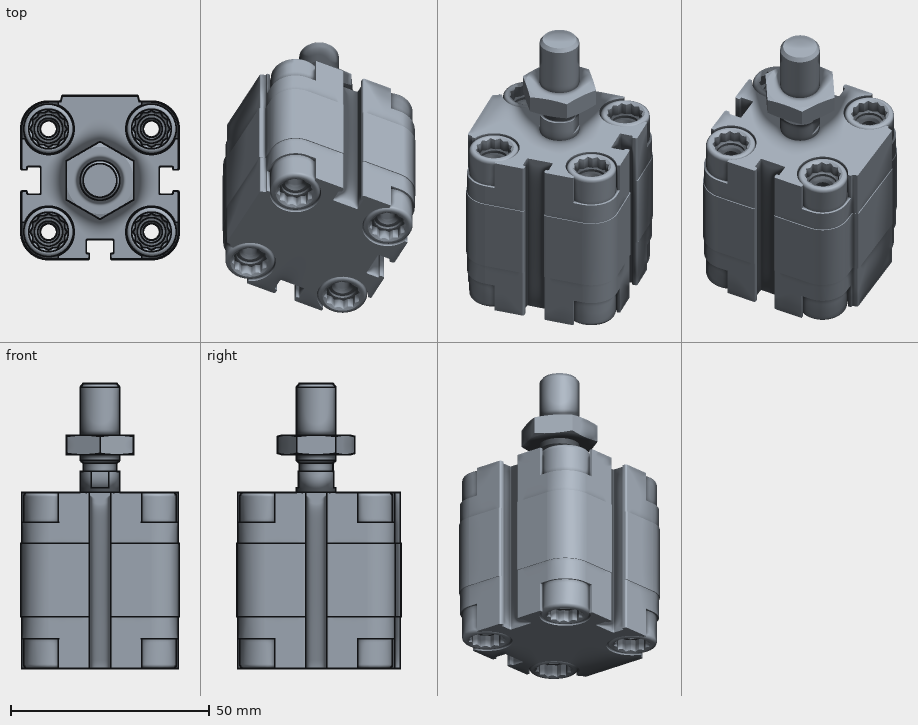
import cadquery as cq
import math

TOTAL_HEIGHT = 72.0
HEXAGON_HALF_ANGLE = 30.0

HOUSING_HEIGHT = 44.5
CAP_HALF_WIDTH = 19.8
TUBE_HALF_WIDTH = 20.0
TUBE_BOTTOM = 13.0
TUBE_TOP = 31.6
SCREW_OFFSET = 12.995

RIB_HEIGHT = 1.45
RIB_ROOT_HALF_WIDTH = 9.9
RIB_TOP_HALF_WIDTH = 9.6
RIB_EDGE_RADIUS = 0.35

SLOT_ANGLES = (0, 180, 270)
SLOT_FLOOR = 15.0
SLOT_HALF_WIDTH = 3.45
NECK_HALF_WIDTH = 2.7
LIP_THICKNESS = 1.4
SLOT_CORNER_RADIUS = 0.3
MOUTH_RADIUS = 0.5

RECESS_DEPTH = 7.5
RECESS_WALL = 10.5
RECESS_DIAMETER = 12.95
HEAD_DIAMETER = 12.5
HEAD_FILLET = 1.0

SOCKET_ACROSS_FLATS = 8.1
SOCKET_DEPTH = 3.3
SOCKET_MOUTH_DIAMETER = 10.0
SOCKET_MOUTH_SLOPE = 30.0
STEP_DIAMETER = 7.2
STEP_DEPTH = 4.0
COUNTERSINK_DIAMETER = 5.5
BORE_DIAMETER = 4.1

ROD_DIAMETER = 10.0
ROD_TIP_DIAMETER = 8.5
ROD_TIP_CHAMFER = 0.9
ROD_NECK_DIAMETER = 8.6
COLLAR_TOP = 49.8
NECK_TOP = 51.9
THREAD_BOTTOM = 52.55
FLAT_BOTTOM = 45.7
FLAT_ACROSS = 9.0

NUT_BOTTOM = 54.0
NUT_HEIGHT = 5.0
NUT_ACROSS_FLATS = 17.0
NUT_CORNER_DROP = 0.35

CORNERS = [(sx * SCREW_OFFSET, sy * SCREW_OFFSET) for sx in (-1, 1) for sy in (-1, 1)]


def t_slot(half_width, angle):
    """Tall cutter for the T-slot of the +X side with its mouth at half_width, turned by angle about Z."""
    lip = CAP_HALF_WIDTH - LIP_THICKNESS
    mouth_start = half_width - MOUTH_RADIUS
    mouth_half_width = NECK_HALF_WIDTH + MOUTH_RADIUS
    neck = (
        cq.Workplane("XY")
        .moveTo(SLOT_FLOOR, -NECK_HALF_WIDTH)
        .lineTo(mouth_start, -NECK_HALF_WIDTH)
        .radiusArc((half_width, -mouth_half_width), MOUTH_RADIUS)
        .lineTo(half_width, mouth_half_width)
        .radiusArc((mouth_start, NECK_HALF_WIDTH), MOUTH_RADIUS)
        .lineTo(SLOT_FLOOR, NECK_HALF_WIDTH)
        .close()
        .extrude(HOUSING_HEIGHT)
    )
    chamber = (
        cq.Workplane("XY")
        .center((lip + SLOT_FLOOR) / 2, 0)
        .rect(lip - SLOT_FLOOR, 2 * SLOT_HALF_WIDTH)
        .extrude(HOUSING_HEIGHT)
    )
    rounded_corners = cq.selectors.BoxSelector(
        (SLOT_FLOOR - SLOT_CORNER_RADIUS, -2 * SLOT_HALF_WIDTH, 0),
        (lip + SLOT_CORNER_RADIUS, 2 * SLOT_HALF_WIDTH, HOUSING_HEIGHT),
    )
    slot = chamber.union(neck).edges("|Z").edges(rounded_corners).fillet(SLOT_CORNER_RADIUS)
    return slot.rotate((0, 0, 0), (0, 0, 1), angle)


def housing_section(half_width, bottom, top):
    """Rounded square prism with the rib on its +Y side and a T-slot in each other side."""
    height = top - bottom
    base = cq.Workplane("XY").workplane(offset=bottom)
    corner_radius = half_width - SCREW_OFFSET
    block = base.rect(2 * half_width, 2 * half_width).extrude(height).edges("|Z").fillet(corner_radius)
    rib_top = half_width + RIB_HEIGHT
    rib = (
        base.moveTo(-RIB_ROOT_HALF_WIDTH, 0)
        .lineTo(-RIB_ROOT_HALF_WIDTH, half_width)
        .lineTo(-RIB_TOP_HALF_WIDTH, rib_top)
        .lineTo(RIB_TOP_HALF_WIDTH, rib_top)
        .lineTo(RIB_ROOT_HALF_WIDTH, half_width)
        .lineTo(RIB_ROOT_HALF_WIDTH, 0)
        .close()
        .extrude(height)
    )
    rib_reach = RIB_ROOT_HALF_WIDTH + RIB_EDGE_RADIUS
    rib_edges = cq.selectors.BoxSelector(
        (-rib_reach, half_width - RIB_EDGE_RADIUS, bottom),
        (rib_reach, rib_top + RIB_EDGE_RADIUS, top),
    )
    section = block.union(rib).edges("|Z").edges(rib_edges).fillet(RIB_EDGE_RADIUS)
    for angle in SLOT_ANGLES:
        section = section.cut(t_slot(half_width, angle))
    return section


def corner_recess(x, y):
    """Cutter for the top recess around one screw head."""
    bottom = HOUSING_HEIGHT - RECESS_DEPTH
    base = cq.Workplane("XY").workplane(offset=bottom)
    round_part = base.center(x, y).circle(RECESS_DIAMETER / 2).extrude(RECESS_DEPTH)
    width = TUBE_HALF_WIDTH - RECESS_WALL
    middle = RECESS_WALL + width / 2
    square_part = (
        base.center(math.copysign(middle, x), math.copysign(middle, y))
        .rect(width, width)
        .extrude(RECESS_DEPTH)
    )
    return round_part.union(square_part)


def socket():
    """Cutter for the stepped twelve-point socket, with its mouth at Z = 0."""
    mouth_radius = SOCKET_MOUTH_DIAMETER / 2
    cone_depth = mouth_radius * math.tan(math.radians(SOCKET_MOUTH_SLOPE))
    countersink_depth = (COUNTERSINK_DIAMETER - BORE_DIAMETER) / 2
    bored = (
        cq.Workplane("XZ")
        .lineTo(STEP_DIAMETER / 2, 0)
        .lineTo(STEP_DIAMETER / 2, -STEP_DEPTH)
        .lineTo(COUNTERSINK_DIAMETER / 2, -STEP_DEPTH)
        .lineTo(BORE_DIAMETER / 2, -STEP_DEPTH - countersink_depth)
        .lineTo(0, -STEP_DEPTH - countersink_depth)
        .close()
        .revolve(360, (0, 0, 0), (0, 1, 0))
    )
    mouth = (
        cq.Workplane("XZ")
        .lineTo(mouth_radius, 0)
        .lineTo(0, -cone_depth)
        .close()
        .revolve(360, (0, 0, 0), (0, 1, 0))
    )
    across_points = SOCKET_ACROSS_FLATS / math.cos(math.radians(HEXAGON_HALF_ANGLE))
    hexagon = cq.Workplane("XY").polygon(6, across_points).extrude(-SOCKET_DEPTH)
    turned_hexagon = hexagon.rotate((0, 0, 0), (0, 0, 1), HEXAGON_HALF_ANGLE)
    return bored.union(hexagon).union(turned_hexagon).union(mouth)


def screw_head(x, y):
    """Round head filling a top recess, flush with the top of the housing."""
    head = (
        cq.Workplane("XY")
        .circle(HEAD_DIAMETER / 2)
        .extrude(RECESS_DEPTH)
        .faces(">Z")
        .edges()
        .fillet(HEAD_FILLET)
        .translate((0, 0, HOUSING_HEIGHT - RECESS_DEPTH))
    )
    head = head.cut(socket().translate((0, 0, HOUSING_HEIGHT)))
    return head.translate((x, y, 0))


def at_both_ends(shape):
    """The shape together with its mirror image at the other end of the housing."""
    middle = (0, 0, HOUSING_HEIGHT / 2)
    return [shape, shape.mirror("XY", middle)]


def make_housing():
    body = housing_section(CAP_HALF_WIDTH, 0, HOUSING_HEIGHT)
    body = body.union(housing_section(TUBE_HALF_WIDTH, TUBE_BOTTOM, TUBE_TOP))
    for x, y in CORNERS:
        for recess in at_both_ends(corner_recess(x, y)):
            body = body.cut(recess)
        for head in at_both_ends(screw_head(x, y)):
            body = body.union(head)
    bores = cq.Workplane("XY").pushPoints(CORNERS).circle(BORE_DIAMETER / 2).extrude(HOUSING_HEIGHT)
    return body.cut(bores)


def make_rod():
    """Turned rod standing on the housing, with two wrench flats on its collar."""
    radius = ROD_DIAMETER / 2
    tip_radius = ROD_TIP_DIAMETER / 2
    neck_radius = ROD_NECK_DIAMETER / 2
    rod = (
        cq.Workplane("XZ")
        .moveTo(0, HOUSING_HEIGHT)
        .lineTo(radius, HOUSING_HEIGHT)
        .lineTo(radius, COLLAR_TOP)
        .lineTo(neck_radius, COLLAR_TOP)
        .lineTo(neck_radius, NECK_TOP)
        .lineTo(radius, THREAD_BOTTOM)
        .lineTo(radius, TOTAL_HEIGHT - ROD_TIP_CHAMFER)
        .lineTo(tip_radius, TOTAL_HEIGHT)
        .lineTo(0, TOTAL_HEIGHT)
        .close()
        .revolve(360, (0, 0, 0), (0, 1, 0))
    )
    for side in (-1, 1):
        flat = (
            cq.Workplane("XY")
            .workplane(offset=FLAT_BOTTOM)
            .center(0, side * (FLAT_ACROSS / 2 + radius))
            .rect(2 * radius, 2 * radius)
            .extrude(COLLAR_TOP - FLAT_BOTTOM)
        )
        rod = rod.cut(flat)
    return rod


def make_nut():
    """Hexagonal nut with flats facing +X and -X and coned corners."""
    flat_radius = NUT_ACROSS_FLATS / 2
    corner_radius = flat_radius / math.cos(math.radians(HEXAGON_HALF_ANGLE))
    hexagon = (
        cq.Workplane("XY")
        .polygon(6, 2 * corner_radius)
        .extrude(NUT_HEIGHT)
        .rotate((0, 0, 0), (0, 0, 1), HEXAGON_HALF_ANGLE)
    )
    coned_blank = (
        cq.Workplane("XZ")
        .lineTo(flat_radius, 0)
        .lineTo(corner_radius, NUT_CORNER_DROP)
        .lineTo(corner_radius, NUT_HEIGHT - NUT_CORNER_DROP)
        .lineTo(flat_radius, NUT_HEIGHT)
        .lineTo(0, NUT_HEIGHT)
        .close()
        .revolve(360, (0, 0, 0), (0, 1, 0))
    )
    rod_hole = cq.Workplane("XY").circle(ROD_DIAMETER / 2).extrude(NUT_HEIGHT)
    return hexagon.intersect(coned_blank).cut(rod_hole).translate((0, 0, NUT_BOTTOM))


housing = make_housing()
rod = make_rod()
nut = make_nut()
result = cq.Compound.makeCompound([housing.val(), rod.val(), nut.val()])